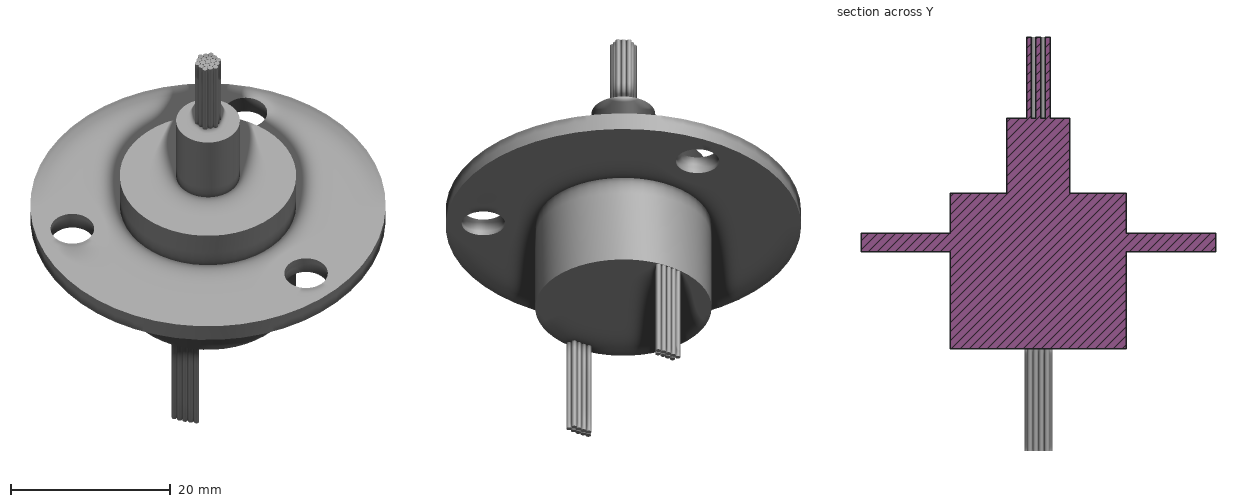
import cadquery as cq
import math

total_height = 51.8
flange_diameter = 44.45
flange_thickness = 2.35
body_diameter = 22.1
body_depth_below_flange = 12.2
body_height_above_flange = 5.05
neck_diameter = 8.0
neck_height = 9.4

mount_hole_count = 3
mount_hole_diameter = 5.45
mount_hole_circle_radius = 17.5

wire_radius = 0.33
top_wire_gap = 0.01
lower_wire_gap = 0.05
top_wire_pitch = 2 * wire_radius + top_wire_gap
lower_wire_pitch = 2 * wire_radius + lower_wire_gap
top_wire_length = 10.15
bundle_rings = 2
lower_edge_inset = 0.05
lower_row_counts = (5, 4)

body_top = flange_thickness + body_height_above_flange
neck_top = body_top + neck_height
body_bottom = -body_depth_below_flange
lower_wire_length = total_height - top_wire_length - (neck_top - body_bottom)


def disc(diameter, bottom, height):
    return cq.Workplane("XY").workplane(offset=bottom).circle(diameter / 2).extrude(height)


def wires(centres, start, length):
    """Parallel round wires; a negative length runs downward."""
    return cq.Workplane("XY").workplane(offset=start).pushPoints(centres).circle(wire_radius).extrude(length)


def hexagonal_bundle():
    """Centres of a close-packed hexagon whose columns run along Y."""
    column_pitch = top_wire_pitch * math.sqrt(3) / 2
    centres = []
    for column in range(-bundle_rings, bundle_rings + 1):
        count = 2 * bundle_rings + 1 - abs(column)
        for index in range(count):
            centres.append((column * column_pitch, (index - (count - 1) / 2) * top_wire_pitch))
    return centres


def curved_bundle(direction):
    """Centres of wire rows that follow the body rim about the given angle."""
    outer_row_radius = body_diameter / 2 - lower_edge_inset - wire_radius
    centres = []
    for row, count in enumerate(lower_row_counts):
        row_radius = outer_row_radius - row * lower_wire_pitch
        angle_step = 2 * math.asin(lower_wire_pitch / 2 / row_radius)
        for index in range(count):
            angle = direction + (index - (count - 1) / 2) * angle_step
            centres.append((row_radius * math.cos(angle), row_radius * math.sin(angle)))
    return centres


flange = disc(flange_diameter, 0, flange_thickness)
mount_holes = (
    cq.Workplane("XY")
    .polarArray(mount_hole_circle_radius, 90, 360, mount_hole_count)
    .circle(mount_hole_diameter / 2)
    .extrude(flange_thickness)
)
flange = flange.cut(mount_holes)

body = disc(body_diameter, body_bottom, body_top - body_bottom)
neck = disc(neck_diameter, body_top, neck_height)
result = flange.union(body).union(neck)

result = result.union(wires(hexagonal_bundle(), neck_top, top_wire_length))
for direction in (-math.pi / 2, math.pi / 2):
    result = result.union(wires(curved_bundle(direction), body_bottom, -lower_wire_length))